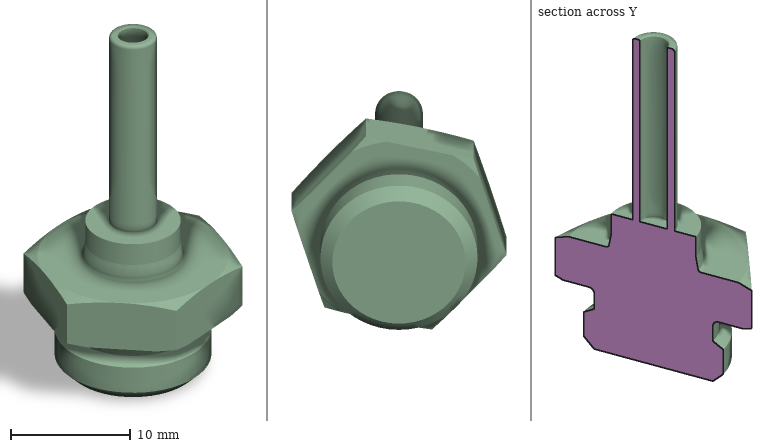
import cadquery as cq
import math

body_bottom_chamfer = 1.0
groove_bottom = 4.0
hex_bottom = 6.0
hex_height = 4.5
hex_top = hex_bottom + hex_height
cone_height = 1.4
cone_top = hex_top + cone_height
collar_top = cone_top + 2.0
tube_top = 31.9

body_radius = 6.58
groove_radius = 5.6
collar_radius = 4.0
tube_radius = 2.0
bore_radius = 1.25

across_flats = 16.0
across_corners = across_flats / math.cos(math.radians(30))
corner_radius = across_corners / 2
hex_top_face_radius = across_flats / 2
hex_bottom_face_radius = 8.5
hex_chamfer_angle = math.radians(20)

shoulder_angle = math.radians(30)
body_top = groove_bottom - (body_radius - groove_radius) * math.tan(shoulder_angle)

groove_fillet = 0.5
collar_fillet = 0.3
cone_angle = math.radians(10)
tube_tip_fillet = 0.3
bore_chamfer = 0.1
bore_depth = tube_top - collar_top


def make_spigot():
    """Round body below the hexagon, with a groove that flares into the hexagon."""
    return (
        cq.Workplane("XZ")
        .lineTo(body_radius - body_bottom_chamfer, 0)
        .lineTo(body_radius, body_bottom_chamfer)
        .lineTo(body_radius, body_top)
        .lineTo(groove_radius, groove_bottom)
        .lineTo(groove_radius, hex_bottom - groove_fillet)
        .tangentArcPoint((groove_radius + groove_fillet, hex_bottom), relative=False)
        .lineTo(0, hex_bottom)
        .close()
        .revolve(360, (0, 0), (0, 1))
    )


def make_hexagon():
    """Hexagon with its corners turned down by a cone on each face."""
    prism = (
        cq.Workplane("XY")
        .workplane(offset=hex_bottom)
        .polygon(6, across_corners)
        .extrude(hex_height)
    )
    slope = math.tan(hex_chamfer_angle)
    bottom_drop = (corner_radius - hex_bottom_face_radius) * slope
    top_drop = (corner_radius - hex_top_face_radius) * slope
    turned_envelope = (
        cq.Workplane("XZ")
        .moveTo(0, hex_bottom)
        .lineTo(hex_bottom_face_radius, hex_bottom)
        .lineTo(corner_radius, hex_bottom + bottom_drop)
        .lineTo(corner_radius, hex_top - top_drop)
        .lineTo(hex_top_face_radius, hex_top)
        .lineTo(0, hex_top)
        .close()
        .revolve(360, (0, 0), (0, 1))
    )
    return prism.intersect(turned_envelope)


def make_collar():
    """Collar above the hexagon, widening downward and filleted into the hexagon."""
    cone_foot_radius = collar_radius + cone_height * math.tan(cone_angle)
    tangent_length = collar_fillet * math.tan((math.pi / 2 - cone_angle) / 2)
    fillet_start = (
        cone_foot_radius - tangent_length * math.sin(cone_angle),
        hex_top + tangent_length * math.cos(cone_angle),
    )
    fillet_end = (cone_foot_radius + tangent_length, hex_top)
    return (
        cq.Workplane("XZ")
        .moveTo(0, collar_top)
        .lineTo(collar_radius, collar_top)
        .lineTo(collar_radius, cone_top)
        .lineTo(*fillet_start)
        .tangentArcPoint(fillet_end, relative=False)
        .lineTo(0, hex_top)
        .close()
        .revolve(360, (0, 0), (0, 1))
    )


def make_tube():
    """Thin tube with a rounded tip and a blind bore as deep as the tube is long."""
    tube = (
        cq.Workplane("XY")
        .workplane(offset=collar_top)
        .circle(tube_radius)
        .extrude(tube_top - collar_top)
        .faces(">Z")
        .edges()
        .fillet(tube_tip_fillet)
    )
    bore = (
        cq.Workplane("XY")
        .workplane(offset=tube_top - bore_depth)
        .circle(bore_radius)
        .extrude(bore_depth)
    )
    bore_rim = cq.selectors.RadiusNthSelector(0)
    return tube.cut(bore).faces(">Z").edges(bore_rim).chamfer(bore_chamfer)


result = make_spigot().union(make_hexagon()).union(make_collar()).union(make_tube())